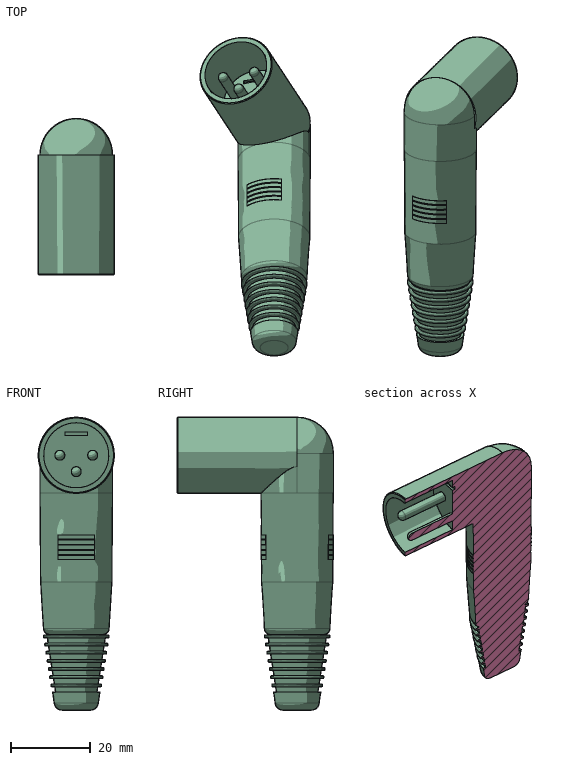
import cadquery as cq


shell_radius = 9.5
shell_length = 30.1
mouth_chamfer = 0.2
socket_radius = 8.15
socket_depth = 14.7

pin_radius = 1.25
pin_offset = 4.1
pin_recess = 1.1
pin_root_length = 0.7
key_width = 5.7
key_height = 0.8
key_center_z = 5.35
key_depth = 0.7

handle_radius = 9.1
taper_start_z = -9.4
grip_end_z = -31.7
grip_end_radius = 8.95
handle_end_z = -44.9
handle_end_radius = 8.15
handle_end_fillet = 1.6
dome_center_z = shell_radius - handle_radius

neck_top_radius = 7.4
neck_bottom_radius = 5.2
rib_count = 7
rib_thickness = 0.7
rib_height = 0.9
rib_rounding = 0.3
first_rib_z = -45.3
last_rib_z = -57.6
rib_pitch = (first_rib_z - last_rib_z) / (rib_count - 1)
tip_top_z = -59.25
tip_top_radius = 5.95
tip_bottom_z = -63.8
tip_bottom_radius = 5.3
tip_fillet = 2.05

bar_count = 5
bar_width = 9.1
bar_thickness = 1.0
bar_stack_height = 6.1
bar_pitch = (bar_stack_height - bar_thickness) / (bar_count - 1)
bar_raise = 0.1
bar_center_z = -23.0


def y_cylinder(radius, y_start, y_end, x=0.0, z=0.0):
    """Cylinder along Y between two Y positions."""
    start = cq.Vector(x, y_start, z)
    return cq.Workplane(cq.Solid.makeCylinder(radius, y_end - y_start, start, cq.Vector(0, 1, 0)))


def revolved(profile):
    """Solid of revolution about Z from the (radius, z) points of its outer edge."""
    top_z = profile[0][1]
    bottom_z = profile[-1][1]
    outline = [(0, top_z)] + profile + [(0, bottom_z)]
    return cq.Workplane("XZ").polyline(outline).close().revolve(360, (0, 0), (0, 1))


def handle():
    """Gently tapered body with a rounded lower end and a domed top."""
    body = revolved([
        (handle_radius, dome_center_z),
        (handle_radius, taper_start_z),
        (grip_end_radius, grip_end_z),
        (handle_end_radius, handle_end_z),
    ])
    body = body.faces("<Z").edges().fillet(handle_end_fillet)
    dome = cq.Workplane("XY").sphere(handle_radius).translate((0, 0, dome_center_z))
    return body.union(dome)


def grip_bars():
    """Stacks of thin bars that follow the handle surface on both sides."""
    sleeve = revolved([
        (handle_radius + bar_raise, taper_start_z),
        (grip_end_radius + bar_raise, grip_end_z),
    ])
    slab = cq.Workplane("XY").box(bar_width, 4 * handle_radius, bar_thickness)
    bars = cq.Workplane("XY")
    for index in range(bar_count):
        bar_z = bar_center_z + (index - (bar_count - 1) / 2) * bar_pitch
        bars = bars.union(slab.translate((0, 0, bar_z)))
    return sleeve.intersect(bars)


def neck_radius(z):
    """Radius of the conical neck at a height."""
    fraction = (handle_end_z - z) / (handle_end_z - tip_top_z)
    return neck_top_radius + fraction * (neck_bottom_radius - neck_top_radius)


def rib(z):
    """Round-edged disc around the neck."""
    half = rib_thickness / 2
    rim = neck_radius(z) + rib_height
    return (
        cq.Workplane("XZ")
        .moveTo(0, z + half)
        .lineTo(rim - rib_rounding, z + half)
        .radiusArc((rim, z + half - rib_rounding), rib_rounding)
        .lineTo(rim, z - half + rib_rounding)
        .radiusArc((rim - rib_rounding, z - half), rib_rounding)
        .lineTo(0, z - half)
        .close()
        .revolve(360, (0, 0), (0, 1))
    )


def strain_relief():
    """Conical ribbed neck ending in a rounded tip."""
    neck = revolved([(neck_top_radius, handle_end_z), (neck_bottom_radius, tip_top_z)])
    tip = revolved([(tip_top_radius, tip_top_z), (tip_bottom_radius, tip_bottom_z)])
    relief = neck.union(tip.faces("<Z").edges().fillet(tip_fillet))
    for index in range(rib_count):
        relief = relief.union(rib(first_rib_z - index * rib_pitch))
    return relief


def shell():
    """Solid tube blank with a chamfered mouth."""
    return y_cylinder(shell_radius, -shell_length, 0).faces("<Y").edges().chamfer(mouth_chamfer)


def socket():
    """Round cavity opening at the mouth, with a key slot in its floor."""
    floor_y = socket_depth - shell_length
    bore = y_cylinder(socket_radius, -shell_length, floor_y)
    key = cq.Workplane("XY").box(key_width, 2 * key_depth, key_height)
    return bore.union(key.translate((0, floor_y, key_center_z)))


def pin(x, z):
    """Pin rooted in the socket floor, with a hemispherical end."""
    end_y = pin_recess + pin_radius - shell_length
    root_y = socket_depth + pin_root_length - shell_length
    ball = cq.Workplane("XY").sphere(pin_radius).translate((x, end_y, z))
    return y_cylinder(pin_radius, end_y, root_y, x, z).union(ball)


result = handle().union(grip_bars()).union(strain_relief()).union(shell()).cut(socket())
for pin_x, pin_z in [(-pin_offset, 0), (pin_offset, 0), (0, -pin_offset)]:
    result = result.union(pin(pin_x, pin_z))